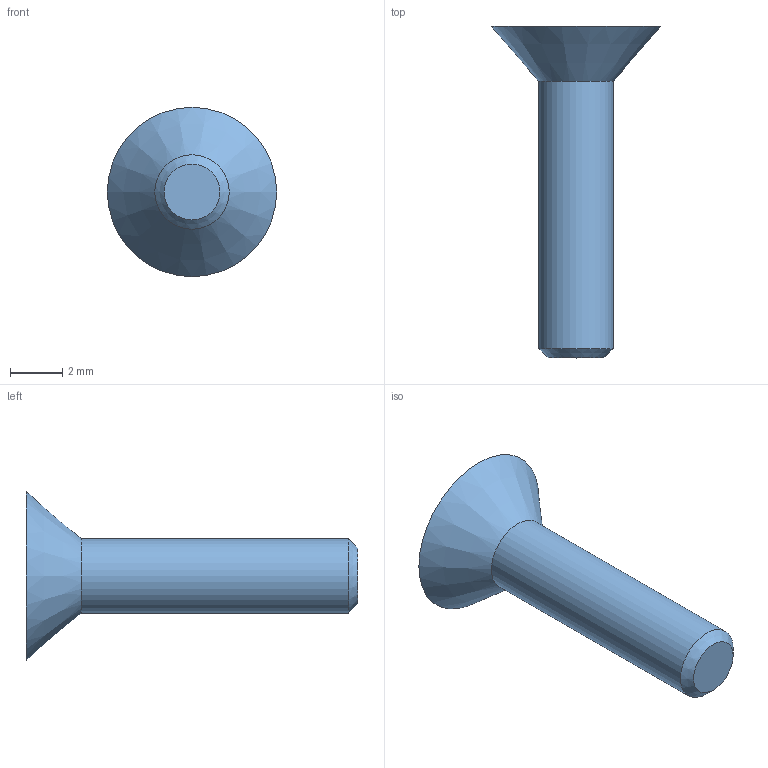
import cadquery as cq

overall_length = 12.7
head_diameter = 6.48
head_height = 2.11
shank_diameter = 2.85
tip_chamfer = 0.355

head_radius = head_diameter / 2
shank_radius = shank_diameter / 2
tip_radius = shank_radius - tip_chamfer


def make_screw():
    """Revolve the half profile (radius along X) about the Y axis."""
    profile = (
        cq.Workplane("XY")
        .moveTo(0, 0)
        .lineTo(head_radius, 0)
        .lineTo(shank_radius, -head_height)
        .lineTo(shank_radius, tip_chamfer - overall_length)
        .lineTo(tip_radius, -overall_length)
        .lineTo(0, -overall_length)
        .close()
    )
    return profile.revolve(360, (0, 0, 0), (0, 1, 0))


result = make_screw()